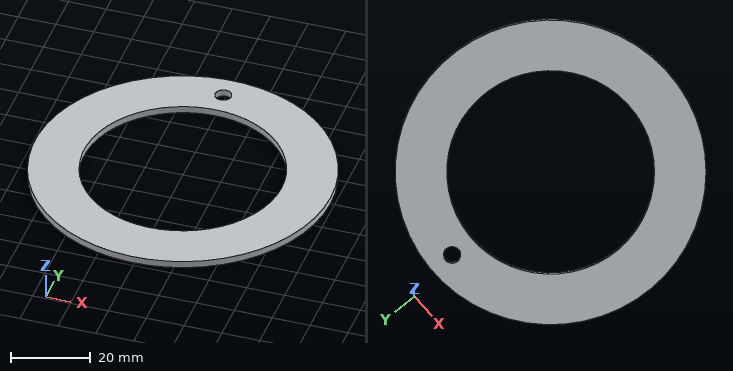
import cadquery as cq

outer_diameter = 78.0
inner_diameter = 52.0
thickness = 1.95
hole_diameter = 4.2

hole_center_radius = (outer_diameter + inner_diameter) / 4


def make_ring():
    """Flat ring resting on the XY plane, centred on the Z axis."""
    return (
        cq.Workplane("XY")
        .circle(outer_diameter / 2)
        .circle(inner_diameter / 2)
        .extrude(thickness)
    )


def make_hole_cutter():
    """Cylinder that removes the small hole through the full thickness."""
    return (
        cq.Workplane("XY")
        .center(0, hole_center_radius)
        .circle(hole_diameter / 2)
        .extrude(thickness)
    )


result = make_ring().cut(make_hole_cutter())